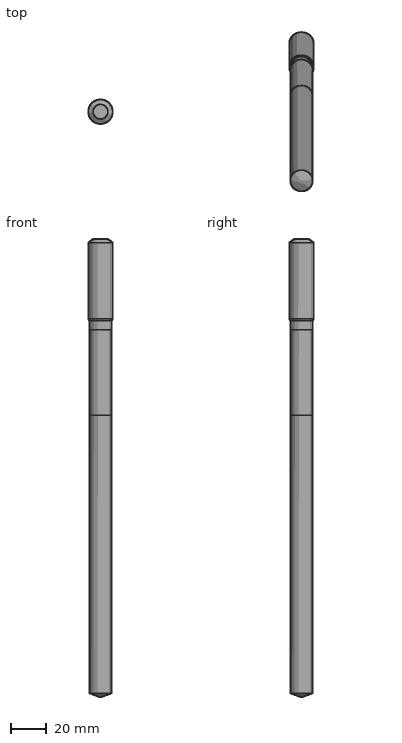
import cadquery as cq

total_length = 258.0

shank_diameter = 14.0
shank_top_diameter = 8.3
shank_bevel_height = 2.0
shank_end_depth = 45.0
taper_end_depth = 46.0

collar_diameter = 13.0
collar_end_depth = 51.0
neck_diameter = 12.6
neck_end_depth = 99.0

cutting_diameter = neck_diameter
point_height = 2.3

shank_bevel_z = total_length - shank_bevel_height
shank_end_z = total_length - shank_end_depth
taper_end_z = total_length - taper_end_depth
collar_end_z = total_length - collar_end_depth
split_z = total_length - neck_end_depth


def revolve_profile(profile):
    """Turn a closed (radius, height) outline around the Z axis."""
    return (
        cq.Workplane("XZ")
        .polyline(profile)
        .close()
        .revolve(360, (0, 0, 0), (0, 1, 0))
    )


def make_holder():
    """Shank, collar and neck as one turned body."""
    return revolve_profile([
        (0, split_z),
        (neck_diameter / 2, split_z),
        (neck_diameter / 2, collar_end_z),
        (collar_diameter / 2, collar_end_z),
        (collar_diameter / 2, taper_end_z),
        (shank_diameter / 2, shank_end_z),
        (shank_diameter / 2, shank_bevel_z),
        (shank_top_diameter / 2, total_length),
        (0, total_length),
    ])


def make_cutting_part():
    """Cylindrical cutting length ending in a conical point."""
    return revolve_profile([
        (0, 0),
        (cutting_diameter / 2, point_height),
        (cutting_diameter / 2, split_z),
        (0, split_z),
    ])


holder = make_holder()
cutting_part = make_cutting_part()

result = cq.Compound.makeCompound([holder.val(), cutting_part.val()])